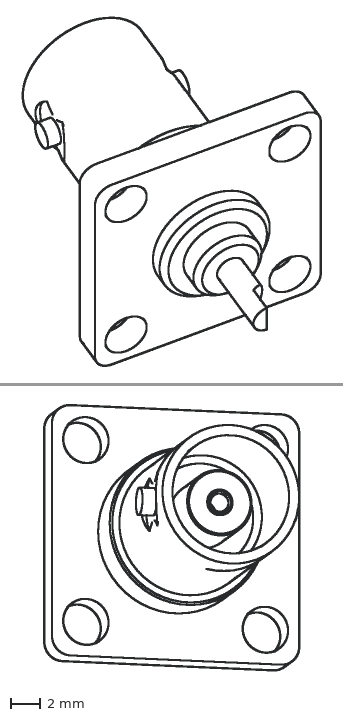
import cadquery as cq


shoulder_x = 12.48
flange_x = 15.97
flange_thickness = 2.29
boss_end_x = 19.7
collar_end_x = 21.6
overall_length = 27.0

barrel_diameter = 9.68
shoulder_diameter = 10.98
shoulder_chamfer = 0.15
boss_diameter = 8.54
collar_diameter = 5.29
rear_chamfer = 0.45

flange_side = 17.5
flange_corner_radius = 1.3
flange_hole_diameter = 3.2
flange_hole_pitch = 12.7

bore_diameter = 8.26
bore_floor_diameter = 7.28
bore_depth = 8.4

dielectric_diameter = 4.57
dielectric_chamfer = 0.11
dielectric_tip_x = 3.2
contact_diameter = 1.78
contact_protrusion = 0.06
socket_mouth_diameter = 1.57
socket_diameter = 1.27
socket_depth = 4.0

stud_x = 4.06
stud_diameter = 1.91
stud_span = 10.98
seat_diameter = 4.3
seat_span = 8.96
groove_width = 2.2
groove_depth = 0.175

pin_diameter = 2.08
cut_start_x = 24.33
cut_flat_x = 25.03


def rod(diameter, start_x, end_x):
    """Cylinder on the X axis between two stations."""
    return cq.Workplane("YZ", origin=(start_x, 0, 0)).circle(diameter / 2).extrude(end_x - start_x)


def revolved(profile):
    """Close an (x, radius) profile and turn it about the X axis."""
    return profile.close().revolve(360, (0, 0, 0), (1, 0, 0))


def make_turned_body():
    barrel = rod(barrel_diameter, 0, flange_x)
    shoulder = rod(shoulder_diameter, shoulder_x, flange_x).faces("<X").chamfer(shoulder_chamfer)
    boss = rod(boss_diameter, flange_x, boss_end_x).faces(">X").chamfer(rear_chamfer)
    collar = rod(collar_diameter, flange_x, collar_end_x).faces(">X").chamfer(rear_chamfer)
    return barrel.union(shoulder).union(boss).union(collar)


def make_flange():
    return (
        cq.Workplane("YZ", origin=(flange_x, 0, 0))
        .rect(flange_side, flange_side)
        .extrude(flange_thickness)
        .edges("|X")
        .fillet(flange_corner_radius)
        .faces("<X")
        .workplane()
        .rect(flange_hole_pitch, flange_hole_pitch, forConstruction=True)
        .vertices()
        .hole(flange_hole_diameter)
    )


def make_groove():
    """Shallow ring of circular-arc section around the barrel."""
    rim = barrel_diameter / 2
    half_width = groove_width / 2
    arc_radius = (half_width**2 + groove_depth**2) / (2 * groove_depth)
    ring_radius = rim - groove_depth + arc_radius
    section = (
        cq.Workplane("XY")
        .moveTo(stud_x - arc_radius, ring_radius)
        .threePointArc((stud_x, rim - groove_depth), (stud_x + arc_radius, ring_radius))
    )
    return revolved(section)


def make_stud(side):
    """Stud on the +Y (side = 1) or -Y (side = -1) flank."""
    root = bore_diameter / 2
    plane = cq.Plane(origin=(stud_x, 0, 0), xDir=(1, 0, 0), normal=(0, side, 0))
    return cq.Workplane(plane).workplane(offset=root).circle(stud_diameter / 2).extrude(stud_span / 2 - root)


def make_seat_cutter(side):
    """Round spot face that leaves a flat seat around one stud."""
    plane = cq.Plane(origin=(stud_x, 0, 0), xDir=(1, 0, 0), normal=(0, side, 0))
    depth = (barrel_diameter - seat_span) / 2
    return cq.Workplane(plane).workplane(offset=seat_span / 2).circle(seat_diameter / 2).extrude(depth)


def make_cavity():
    """Bore with a 45 degree cone running down to its floor."""
    cone_length = (bore_diameter - bore_floor_diameter) / 2
    profile = (
        cq.Workplane("XY")
        .moveTo(0, 0)
        .lineTo(0, bore_diameter / 2)
        .lineTo(bore_depth - cone_length, bore_diameter / 2)
        .lineTo(bore_depth, bore_floor_diameter / 2)
        .lineTo(bore_depth, 0)
    )
    return revolved(profile)


def make_dielectric():
    """Insulator post around the socket contact."""
    return rod(dielectric_diameter, dielectric_tip_x, shoulder_x).faces("<X").chamfer(dielectric_chamfer)


def make_contact():
    """Socket contact standing slightly proud of the insulator post."""
    return rod(contact_diameter, dielectric_tip_x - contact_protrusion, shoulder_x)


def make_socket():
    """Blind contact hole with a 45 degree countersunk mouth."""
    mouth_x = dielectric_tip_x - contact_protrusion
    countersink = (socket_mouth_diameter - socket_diameter) / 2
    profile = (
        cq.Workplane("XY")
        .moveTo(mouth_x, 0)
        .lineTo(mouth_x, socket_mouth_diameter / 2)
        .lineTo(mouth_x + countersink, socket_diameter / 2)
        .lineTo(mouth_x + socket_depth, socket_diameter / 2)
        .lineTo(mouth_x + socket_depth, 0)
    )
    return revolved(profile)


def make_solder_pin():
    """Rear pin whose +Y half is removed behind a sloped step."""
    pin_radius = pin_diameter / 2
    notch = (
        cq.Workplane("XY")
        .moveTo(cut_start_x, pin_radius)
        .lineTo(cut_flat_x, 0)
        .lineTo(overall_length, 0)
        .lineTo(overall_length, pin_radius)
        .close()
        .extrude(pin_radius, both=True)
    )
    return rod(pin_diameter, flange_x, overall_length).cut(notch)


body = make_turned_body().cut(make_groove())
for side in (1, -1):
    body = body.cut(make_seat_cutter(side)).union(make_stud(side))
body = body.union(make_flange()).cut(make_cavity())
body = body.union(make_dielectric()).union(make_contact()).cut(make_socket())
result = body.union(make_solder_pin())